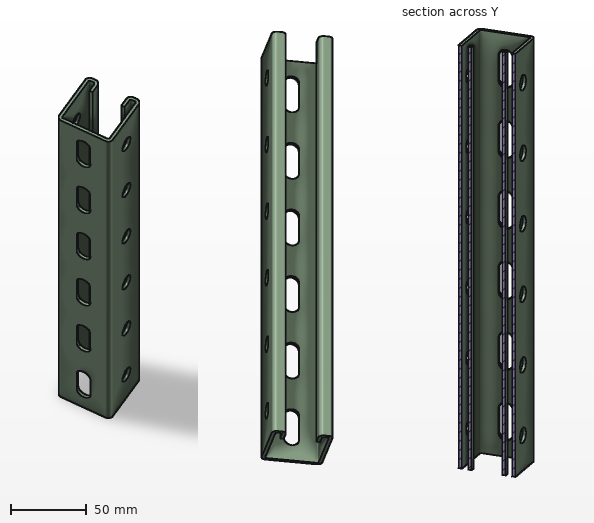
import cadquery as cq

WIDTH = 41.0
DEPTH = 41.0
LENGTH = 300.0

THICKNESS = 2.5
OUTER_RADIUS = 3.5
INNER_RADIUS = OUTER_RADIUS - THICKNESS
MOUTH_WIDTH = 22.0
LIP_DEPTH = 10.0

PITCH = 50.0
HOLE_COUNT = int(LENGTH // PITCH)
SLOT_WIDTH = 10.5
SLOT_LENGTH = 27.0
SIDE_HOLE_DIAMETER = 10.5
SIDE_HOLE_Y = 1.0

BACK_Y = -DEPTH / 2
FRONT_Y = DEPTH / 2


def make_channel():
    """C-shaped channel with lips folded back into its mouth."""
    half_width = WIDTH / 2
    inner_half = half_width - THICKNESS
    lip_x = MOUTH_WIDTH / 2
    lip_end_y = FRONT_Y - LIP_DEPTH
    half = (
        cq.Workplane("XY")
        .moveTo(0, BACK_Y)
        .lineTo(half_width - OUTER_RADIUS, BACK_Y)
        .radiusArc((half_width, BACK_Y + OUTER_RADIUS), -OUTER_RADIUS)
        .lineTo(half_width, FRONT_Y - OUTER_RADIUS)
        .radiusArc((half_width - OUTER_RADIUS, FRONT_Y), -OUTER_RADIUS)
        .lineTo(lip_x + OUTER_RADIUS, FRONT_Y)
        .radiusArc((lip_x, FRONT_Y - OUTER_RADIUS), -OUTER_RADIUS)
        .lineTo(lip_x, lip_end_y)
        .lineTo(lip_x + THICKNESS, lip_end_y)
        .lineTo(lip_x + THICKNESS, FRONT_Y - OUTER_RADIUS)
        .radiusArc((lip_x + OUTER_RADIUS, FRONT_Y - THICKNESS), INNER_RADIUS)
        .lineTo(half_width - OUTER_RADIUS, FRONT_Y - THICKNESS)
        .radiusArc((inner_half, FRONT_Y - OUTER_RADIUS), INNER_RADIUS)
        .lineTo(inner_half, BACK_Y + OUTER_RADIUS)
        .radiusArc((half_width - OUTER_RADIUS, BACK_Y + THICKNESS), INNER_RADIUS)
        .lineTo(0, BACK_Y + THICKNESS)
        .close()
        .extrude(LENGTH)
    )
    return half.union(half.mirror("YZ"))


def make_back_slot(z):
    """Cutter for one lengthwise slot through the back wall only."""
    return (
        cq.Workplane("XZ", origin=(0, BACK_Y + THICKNESS, z))
        .slot2D(SLOT_LENGTH, SLOT_WIDTH, 90)
        .extrude(THICKNESS)
    )


def make_side_hole(z):
    """Cutter for one round hole through both side walls."""
    return (
        cq.Workplane("YZ", origin=(0, SIDE_HOLE_Y, z))
        .circle(SIDE_HOLE_DIAMETER / 2)
        .extrude(WIDTH / 2, both=True)
    )


result = make_channel()
for index in range(HOLE_COUNT):
    hole_z = (index + 0.5) * PITCH
    result = result.cut(make_back_slot(hole_z)).cut(make_side_hole(hole_z))